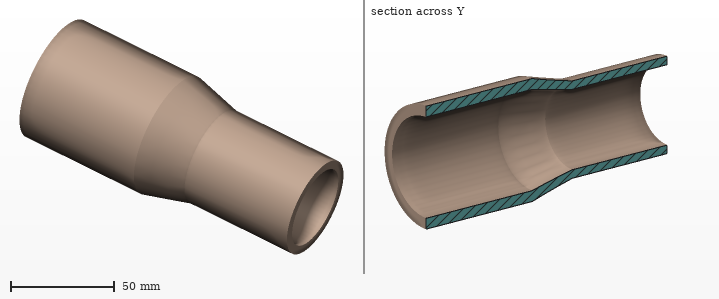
import cadquery as cq

total_length = 150.0
wide_length = 66.0
taper_length = 24.9
wide_outer_diameter = 63.0
wide_bore_diameter = 51.5
narrow_outer_diameter = 50.0
narrow_bore_diameter = 40.8

taper_start = wide_length
taper_end = wide_length + taper_length


def stepped_solid(wide_diameter, narrow_diameter):
    """Solid of revolution: wide cylinder, straight taper, narrow cylinder."""
    wide_radius = wide_diameter / 2
    narrow_radius = narrow_diameter / 2
    half_profile = [
        (0, 0),
        (0, wide_radius),
        (taper_start, wide_radius),
        (taper_end, narrow_radius),
        (total_length, narrow_radius),
        (total_length, 0),
    ]
    return cq.Workplane("XY").polyline(half_profile).close().revolve(360, (0, 0), (1, 0))


body = stepped_solid(wide_outer_diameter, narrow_outer_diameter)
bore = stepped_solid(wide_bore_diameter, narrow_bore_diameter)
result = body.cut(bore)